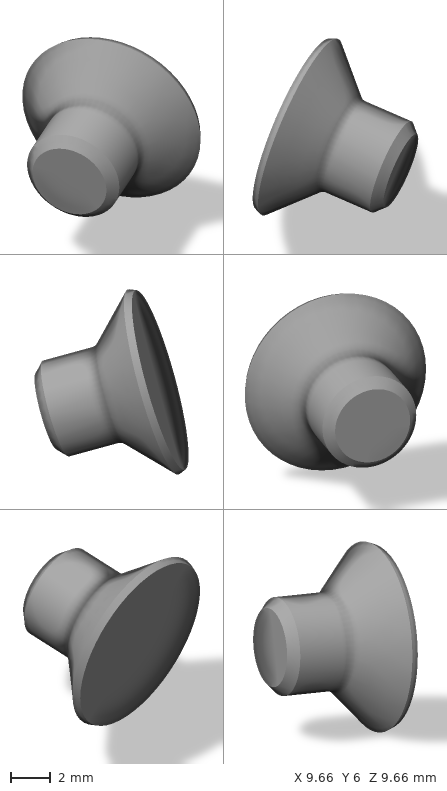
import cadquery as cq
import math

LENGTH = 6.0
RIM_DIAMETER = 9.66
SHANK_DIAMETER = 5.0

BEVEL_HEIGHT = 0.37
BEVEL_INSET = 0.15
CONE_HALF_ANGLE = 45.0

NECK_FILLET_RADIUS = 0.5
TIP_CHAMFER = 0.5

rim_radius = RIM_DIAMETER / 2
shank_radius = SHANK_DIAMETER / 2
face_radius = rim_radius - BEVEL_INSET
tip_radius = shank_radius - TIP_CHAMFER

cone_angle = math.radians(CONE_HALF_ANGLE)
rim_y = -BEVEL_HEIGHT
neck_y = rim_y - (rim_radius - shank_radius) / math.tan(cone_angle)

tangent_length = NECK_FILLET_RADIUS * math.tan(cone_angle / 2)
fillet_center_x = shank_radius + NECK_FILLET_RADIUS
fillet_center_y = neck_y - tangent_length


def neck_fillet_point(angle):
    """Point on the neck fillet, turned by angle from its tangent point on the shank."""
    x = fillet_center_x - NECK_FILLET_RADIUS * math.cos(angle)
    y = fillet_center_y + NECK_FILLET_RADIUS * math.sin(angle)
    return (x, y)


def make_screw():
    """Revolve the half profile of head, neck, shank and tip about the Y axis."""
    profile = (
        cq.Workplane("XY")
        .moveTo(0, 0)
        .lineTo(face_radius, 0)
        .lineTo(rim_radius, rim_y)
        .lineTo(*neck_fillet_point(cone_angle))
        .threePointArc(neck_fillet_point(cone_angle / 2), neck_fillet_point(0))
        .lineTo(shank_radius, -LENGTH + TIP_CHAMFER)
        .lineTo(tip_radius, -LENGTH)
        .lineTo(0, -LENGTH)
        .close()
    )
    return profile.revolve(360, (0, 0, 0), (0, 1, 0))


result = make_screw()